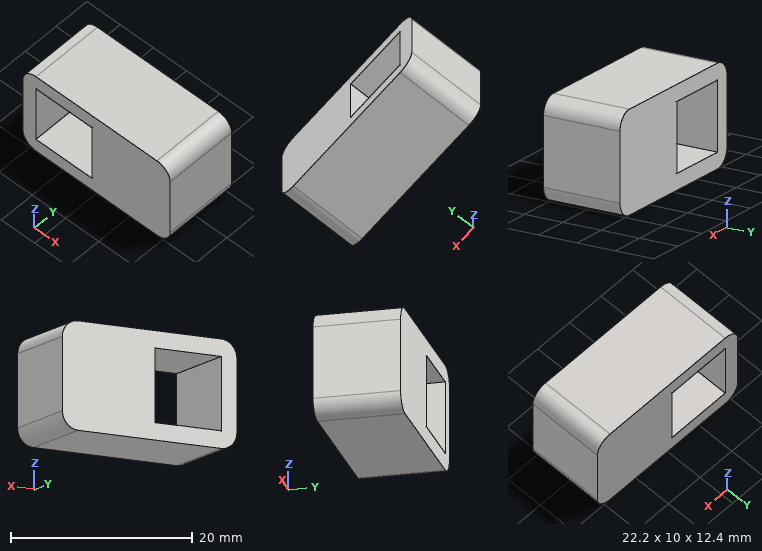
import cadquery as cq

length = 22.2
depth = 10.0
height = 12.4
wall = 2.0
corner_radius = wall

window_side = height - 2 * wall
window_center_x = -length / 2 + wall + window_side / 2


def rounded_block():
    """Block centered on the origin with its four Y-direction edges rounded."""
    return cq.Workplane("XY").box(length, depth, height).edges("|Y").fillet(corner_radius)


def window_cutter():
    """Square prism that passes through the full depth of the block."""
    prism = cq.Workplane("XY").box(window_side, depth, window_side)
    return prism.translate((window_center_x, 0, 0))


result = rounded_block().cut(window_cutter())